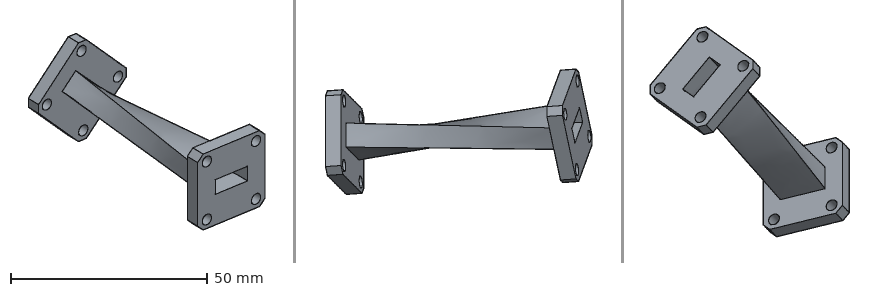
import cadquery as cq

total_length = 63.5
flange_thickness = 4.1
flange_side = 22.4
corner_chamfer = 1.85

bore_width = 10.65
bore_height = 4.3
wall = 1.0
tube_width = bore_width + 2 * wall
tube_height = bore_height + 2 * wall

hole_diameter = 3.05
wide_spacing = 17.1
narrow_spacing = 16.3

twist_angle = 45.0
twist_length = total_length - 2 * flange_thickness
far_flange_x = flange_thickness + twist_length


def section_plane(x, angle):
    """Plane facing +X at the given x, turned clockwise about X as seen from +X.

    At zero angle its local x runs along Y and its local y along Z.
    """
    return cq.Plane(origin=(x, 0, 0), xDir=(0, 1, 0), normal=(1, 0, 0)).rotated((0, 0, -angle))


def flange(x, angle, spacing_across, spacing_up):
    """Chamfered square plate with four bolt holes."""
    plane = section_plane(x, angle)
    plate = cq.Workplane(plane).rect(flange_side, flange_side).extrude(flange_thickness)
    plate = plate.edges("|X").chamfer(corner_chamfer)
    holes = (
        cq.Workplane(plane)
        .rect(spacing_across, spacing_up, forConstruction=True)
        .vertices()
        .circle(hole_diameter / 2)
        .extrude(flange_thickness)
    )
    return plate.cut(holes)


def straight_bore(x, angle):
    """Rectangular passage through one flange."""
    return cq.Workplane(section_plane(x, angle)).rect(bore_width, bore_height).extrude(flange_thickness)


def twisted_bar(width, height):
    """Rectangle joined by ruled faces to the same rectangle turned by the twist angle."""
    near = cq.Workplane(section_plane(flange_thickness, twist_angle)).rect(width, height)
    far = cq.Workplane(section_plane(far_flange_x, 0)).rect(width, height)
    wires = [near.ctx.pendingWires[0], far.ctx.pendingWires[0]]
    return cq.Workplane(cq.Solid.makeLoft(wires, True))


near_flange = flange(0, twist_angle, wide_spacing, narrow_spacing)
far_flange = flange(far_flange_x, 0, narrow_spacing, wide_spacing)

tube = twisted_bar(tube_width, tube_height).cut(twisted_bar(bore_width, bore_height))
near_end = near_flange.cut(straight_bore(0, twist_angle))
far_end = far_flange.cut(straight_bore(far_flange_x, 0))

result = near_end.union(tube).union(far_end)